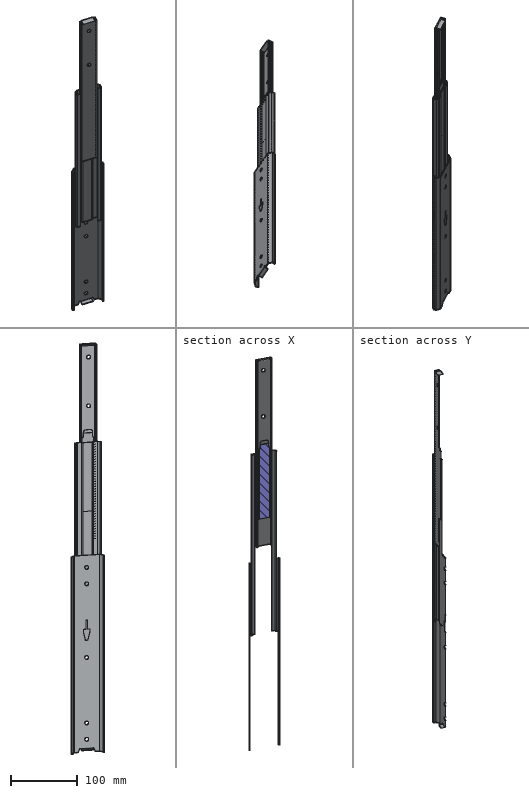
import cadquery as cq
import math


TOTAL_LENGTH = 634.0
TOTAL_DEPTH = 13.0
TOTAL_WIDTH = 51.0
SHEET = 1.6
HALF_SHEET = SHEET / 2
BEND_RADIUS = 1.0
HOLE_DIAMETER = 6.0
FRONT_SHEET_X = TOTAL_DEPTH - HALF_SHEET

OUTER_LENGTH = 305.0
OUTER_WEB_HALF = 19.5
OUTER_FLANGE_Y = TOTAL_WIDTH / 2 - HALF_SHEET
OUTER_FLANGE_START_X = 6.0
OUTER_FLANGE_END_X = 9.0
OUTER_LIP = (11.0, 23.5)
OUTER_HOLE_HEIGHTS = (19.5, 45.0, 146.5, 260.5, 286.0)
LIP_CHAMFER = 2.0
NOTCH_HEIGHT = 6.0
NOTCH_TOP_HALF = 11.0
NOTCH_BOTTOM_HALF = 13.0
STOP_TAB_HALF = 9.0
STOP_TAB_DEPTH = 7.5
ARROW_DEPTH = HALF_SHEET
ARROW_TOP = 204.0
ARROW_NECK = 190.0
ARROW_SHOULDER = 186.0
ARROW_TIP = 173.0
ARROW_STEM_HALF = 1.0
ARROW_HEAD_HALF = 5.0
ARROW_TIP_HALF = 2.0

MIDDLE_BOTTOM = 186.0
MIDDLE_TOP = 481.0
MIDDLE_BACK = 4.0
MIDDLE_WEB_X = MIDDLE_BACK + HALF_SHEET
MIDDLE_WEB_HALF = 16.0
MIDDLE_FLANGE_Y = 20.0 - HALF_SHEET
MIDDLE_FLANGE_START_X = 7.0
MIDDLE_LIP_Y = 14.0
GROOVE_DEPTH = 2.0
GROOVE_FLOOR_HALF = 7.0
GROOVE_MOUTH_HALF = 9.0

INNER_LENGTH = OUTER_LENGTH
INNER_FLANGE_Y = 12.5 - HALF_SHEET
INNER_BACK = 6.0
BALL_GROOVE_X = 9.0
BALL_GROOVE_HALF = 1.0
BALL_GROOVE_DEPTH = 0.5
INNER_HOLE_HEIGHTS = (539.0, 615.0)
END_TAB_HALF = 9.5
END_TAB_BACK = 4.5

RETAINER_LENGTH = 127.0
RETAINER_TOP = 501.0
RETAINER_BACK = MIDDLE_BACK + GROOVE_DEPTH + SHEET
RETAINER_THICKNESS = 2.0
RETAINER_END_HALF = 5.0
RETAINER_CHAMFER = 2.5
RETAINER_NECK = 10.0
RETAINER_TAPER = 12.5
RETAINER_LEDGE_DROP = 5.0
RETAINER_LEDGE_DEPTH = 1.0

STRIP_CENTER_X = 9.5
STRIP_THICKNESS = 1.0
STRIP_WIDTH = 2.5
STRIP_BOTTOM = MIDDLE_BOTTOM
STRIP_TOP = OUTER_LENGTH


def box(x_range, y_range, z_range):
    """Axis-aligned box between the given limits."""
    (x0, x1), (y0, y1), (z0, z1) = x_range, y_range, z_range
    return cq.Workplane("XY").box(x1 - x0, y1 - y0, z1 - z0, centered=False).translate((x0, y0, z0))


def offset_side(path, distance):
    """Points of path shifted sideways by distance, with mitred corners and square ends."""
    normals = []
    for (x0, y0), (x1, y1) in zip(path, path[1:]):
        length = math.hypot(x1 - x0, y1 - y0)
        normals.append(((y0 - y1) / length, (x1 - x0) / length))
    before = [normals[0], *normals]
    after = [*normals, normals[-1]]
    shifted = []
    for (x, y), (ax, ay), (bx, by) in zip(path, before, after):
        reach = distance / (1 + ax * bx + ay * by)
        shifted.append((x + reach * (ax + bx), y + reach * (ay + by)))
    return shifted


def bent_sheet(half_path, bottom, top):
    """Channel of constant thickness whose mid-line is half_path (+Y half) and its mirror image."""
    path = [(x, -y) for x, y in half_path[::-1]] + half_path
    outline = offset_side(path, HALF_SHEET) + offset_side(path, -HALF_SHEET)[::-1]
    return (
        cq.Workplane("XY", origin=(0, 0, bottom))
        .polyline(outline)
        .close()
        .extrude(top - bottom)
    )


def cross_holes(heights):
    """Cylinders along X through the full depth of the slide, at Y = 0."""
    places = [(0, z) for z in heights]
    return cq.Workplane("YZ").pushPoints(places).circle(HOLE_DIAMETER / 2).extrude(TOTAL_DEPTH)


def mirrored_prism(half_outline, start_x, depth):
    """Prism along X from (y, z) points given for the +Y half, ordered from top to bottom."""
    other_half = [(-y, z) for y, z in half_outline[::-1]]
    return (
        cq.Workplane("YZ", origin=(start_x, 0, 0))
        .polyline(half_outline + other_half)
        .close()
        .extrude(depth)
    )


def lip_corners(front_x):
    """Wedge across the full width that chamfers the bottom front corners of the outer lips."""
    return (
        cq.Workplane("XZ")
        .moveTo(front_x - LIP_CHAMFER, 0)
        .lineTo(front_x, 0)
        .lineTo(front_x, LIP_CHAMFER)
        .close()
        .extrude(TOTAL_WIDTH / 2, both=True)
    )


def make_outer_rail():
    path = [
        (HALF_SHEET, OUTER_WEB_HALF),
        (OUTER_FLANGE_START_X, OUTER_FLANGE_Y),
        (OUTER_FLANGE_END_X, OUTER_FLANGE_Y),
        OUTER_LIP,
    ]
    notch = mirrored_prism([(NOTCH_TOP_HALF, NOTCH_HEIGHT), (NOTCH_BOTTOM_HALF, 0)], 0, SHEET)
    arrow = mirrored_prism(
        [
            (ARROW_STEM_HALF, ARROW_TOP),
            (ARROW_STEM_HALF, ARROW_NECK),
            (ARROW_HEAD_HALF, ARROW_NECK),
            (ARROW_HEAD_HALF, ARROW_SHOULDER),
            (ARROW_TIP_HALF, ARROW_TIP),
        ],
        0,
        ARROW_DEPTH,
    )
    stop_tab = box(
        (0, STOP_TAB_DEPTH),
        (-STOP_TAB_HALF, STOP_TAB_HALF),
        (NOTCH_HEIGHT - SHEET, NOTCH_HEIGHT),
    )
    bend_root = box((0, SHEET), (-STOP_TAB_HALF, STOP_TAB_HALF), (NOTCH_HEIGHT, NOTCH_HEIGHT + SHEET))
    bent_tab = stop_tab.union(bend_root).edges("|Y and <X and <Z").fillet(SHEET)
    rail = bent_sheet(path, 0, OUTER_LENGTH).edges("|Z and (>Y or <Y)").fillet(BEND_RADIUS)
    rail = rail.cut(lip_corners(rail.val().BoundingBox().xmax)).cut(notch).union(bent_tab)
    return rail.cut(arrow).cut(cross_holes(OUTER_HOLE_HEIGHTS))


def make_middle_rail():
    path = [
        (MIDDLE_WEB_X + GROOVE_DEPTH, GROOVE_FLOOR_HALF),
        (MIDDLE_WEB_X, GROOVE_MOUTH_HALF),
        (MIDDLE_WEB_X, MIDDLE_WEB_HALF),
        (MIDDLE_FLANGE_START_X, MIDDLE_FLANGE_Y),
        (FRONT_SHEET_X, MIDDLE_FLANGE_Y),
        (FRONT_SHEET_X, MIDDLE_LIP_Y),
    ]
    rail = bent_sheet(path, MIDDLE_BOTTOM, MIDDLE_TOP)
    return rail.edges("|Z and (>Y or <Y)").fillet(BEND_RADIUS)


def make_inner_rail():
    path = [
        (FRONT_SHEET_X, INNER_FLANGE_Y),
        (BALL_GROOVE_X + BALL_GROOVE_HALF, INNER_FLANGE_Y),
        (BALL_GROOVE_X, INNER_FLANGE_Y - BALL_GROOVE_DEPTH),
        (BALL_GROOVE_X - BALL_GROOVE_HALF, INNER_FLANGE_Y),
        (INNER_BACK, INNER_FLANGE_Y),
    ]
    end_tab = box(
        (END_TAB_BACK, FRONT_SHEET_X),
        (-END_TAB_HALF, END_TAB_HALF),
        (TOTAL_LENGTH - SHEET, TOTAL_LENGTH),
    )
    rail = bent_sheet(path, TOTAL_LENGTH - INNER_LENGTH, TOTAL_LENGTH).union(end_tab)
    return rail.cut(cross_holes(INNER_HOLE_HEIGHTS))


def make_inner_retainer():
    bottom = RETAINER_TOP - RETAINER_LENGTH
    plate = mirrored_prism(
        [
            (RETAINER_END_HALF, RETAINER_TOP),
            (GROOVE_FLOOR_HALF, RETAINER_TOP - RETAINER_CHAMFER),
            (GROOVE_FLOOR_HALF, RETAINER_TOP - RETAINER_NECK),
            (GROOVE_MOUTH_HALF, RETAINER_TOP - RETAINER_TAPER),
            (GROOVE_MOUTH_HALF, bottom),
        ],
        RETAINER_BACK,
        RETAINER_THICKNESS,
    )
    ledge_cut = box(
        (RETAINER_BACK, RETAINER_BACK + RETAINER_LEDGE_DEPTH),
        (-GROOVE_MOUTH_HALF, GROOVE_MOUTH_HALF),
        (RETAINER_TOP - RETAINER_LEDGE_DROP, RETAINER_TOP),
    )
    return plate.cut(ledge_cut)


def make_ball_strip(side):
    """Strip on the +Y (side = 1) or -Y (side = -1) flange, resting on the middle rail."""
    inner_edge = MIDDLE_FLANGE_Y + HALF_SHEET
    outer_edge = inner_edge + STRIP_WIDTH
    half = STRIP_THICKNESS / 2
    return box(
        (STRIP_CENTER_X - half, STRIP_CENTER_X + half),
        sorted((side * inner_edge, side * outer_edge)),
        (STRIP_BOTTOM, STRIP_TOP),
    )


outer_rail = make_outer_rail()
middle_rail = make_middle_rail()
inner_rail = make_inner_rail()
inner_retainer = make_inner_retainer()
ball_strips = [make_ball_strip(side).val() for side in (1, -1)]

result = cq.Compound.makeCompound(
    [outer_rail.val(), middle_rail.val(), inner_rail.val(), inner_retainer.val(), *ball_strips]
)